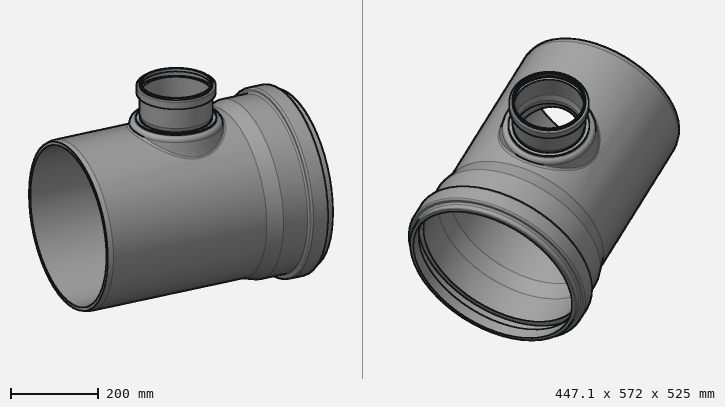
import cadquery as cq
import math


PIPE_OUTER = 400.35
PIPE_BORE = 378.35
PIPE_LENGTH = 572.0
SPIGOT_END = -276.5
SPIGOT_CHAMFER_LENGTH = 12.0
SPIGOT_CHAMFER_DEPTH = 3.0

MAIN_SOCKET_BORE = 402.4
MAIN_SOCKET_OUTER = 421.1
MAIN_BEAD_OUTER = 447.1
MAIN_SOCKET_WALL = (MAIN_SOCKET_OUTER - MAIN_SOCKET_BORE) / 2
MAIN_GROOVE = MAIN_BEAD_OUTER - 2 * MAIN_SOCKET_WALL
MAIN_BEAD_START = 18.5
MAIN_BEAD_END = 62.8
MAIN_SOCKET_DEPTH = 129.0
MAIN_TAPER_END = 166.5
MAIN_BEAD_FILLET = 4.3
MAIN_RIM_FILLET = 2.0

TOTAL_HEIGHT = 525.0
BRANCH_TOP = TOTAL_HEIGHT - MAIN_BEAD_OUTER / 2
BRANCH_WALL = 3.6
BRANCH_SOCKET_BORE = 160.75
BRANCH_SOCKET_OUTER = BRANCH_SOCKET_BORE + 2 * BRANCH_WALL
BRANCH_GROOVE = 174.5
BRANCH_BEAD_OUTER = BRANCH_GROOVE + 2 * BRANCH_WALL
BRANCH_TAIL_OUTER = 160.15
BRANCH_TAIL_BORE = 152.15
BRANCH_BEAD_START = 4.2
BRANCH_BEAD_END = 25.0
BRANCH_TAPER_START = 75.0
BRANCH_TAPER_LENGTH = 15.0
BRANCH_TAIL_END = 102.0
BRANCH_BEAD_FILLET = 2.0

SADDLE_SHOULDER_DIAMETER = 214.0
SADDLE_DRAFT = 13.5
SADDLE_ROOT_Z = 145.0
SADDLE_SHOULDER_Z = 201.5
SADDLE_SHOULDER_RADIUS = 11.5
SADDLE_FOOT_FILLET = 6.0
SADDLE_TOP_Z = SADDLE_SHOULDER_Z + SADDLE_SHOULDER_RADIUS

COLLAR_DIAMETER = 184.5
COLLAR_HEIGHT = 2.6
COLLAR_RECESS_DIAMETER = 166.0
COLLAR_RECESS_DEPTH = 0.5
COLLAR_TOP_Z = SADDLE_TOP_Z + COLLAR_HEIGHT


def turned(profile, axis):
    """Revolve (diameter, height) corners about the Y or Z axis."""
    plane = "XY" if axis == "Y" else "XZ"
    points = [(diameter / 2, height) for diameter, height in profile]
    return cq.Workplane(plane).polyline(points).close().revolve(360, (0, 0), (0, 1))


def upright_disc(diameter, bottom, top):
    return cq.Workplane("XY").workplane(offset=bottom).circle(diameter / 2).extrude(top - bottom)


def make_pipe_envelope():
    mouth = SPIGOT_END + PIPE_LENGTH
    outline = [
        (0, SPIGOT_END),
        (PIPE_OUTER - 2 * SPIGOT_CHAMFER_DEPTH, SPIGOT_END),
        (PIPE_OUTER, SPIGOT_END + SPIGOT_CHAMFER_LENGTH),
        (PIPE_OUTER, mouth - MAIN_TAPER_END),
        (MAIN_SOCKET_OUTER, mouth - MAIN_SOCKET_DEPTH),
        (MAIN_SOCKET_OUTER, mouth - MAIN_BEAD_END),
        (MAIN_BEAD_OUTER, mouth - MAIN_BEAD_END),
        (MAIN_BEAD_OUTER, mouth - MAIN_BEAD_START),
        (MAIN_SOCKET_OUTER, mouth - MAIN_BEAD_START),
        (MAIN_SOCKET_OUTER, mouth),
        (0, mouth),
    ]
    bead_zone = cq.selectors.BoxSelector(
        (-MAIN_BEAD_OUTER, mouth - MAIN_BEAD_END - 1, -MAIN_BEAD_OUTER),
        (MAIN_BEAD_OUTER, mouth - MAIN_BEAD_START + 1, MAIN_BEAD_OUTER),
    )
    envelope = turned(outline, "Y").edges(bead_zone).edges("%CIRCLE").fillet(MAIN_BEAD_FILLET)
    return envelope.faces(">Y").edges().fillet(MAIN_RIM_FILLET)


def make_pipe_cavity():
    mouth = SPIGOT_END + PIPE_LENGTH
    outline = [
        (0, SPIGOT_END),
        (PIPE_BORE, SPIGOT_END),
        (PIPE_BORE, mouth - MAIN_TAPER_END),
        (MAIN_SOCKET_BORE, mouth - MAIN_SOCKET_DEPTH),
        (MAIN_SOCKET_BORE, mouth - MAIN_BEAD_END + MAIN_SOCKET_WALL),
        (MAIN_GROOVE, mouth - MAIN_BEAD_END + MAIN_SOCKET_WALL),
        (MAIN_GROOVE, mouth - MAIN_BEAD_START - MAIN_SOCKET_WALL),
        (MAIN_SOCKET_BORE, mouth - MAIN_BEAD_START - MAIN_SOCKET_WALL),
        (MAIN_SOCKET_BORE, mouth),
        (0, mouth),
    ]
    return turned(outline, "Y")


def make_branch_envelope():
    taper_end = BRANCH_TAPER_START + BRANCH_TAPER_LENGTH
    outline = [
        (0, BRANCH_TOP - BRANCH_TAIL_END),
        (BRANCH_TAIL_OUTER, BRANCH_TOP - BRANCH_TAIL_END),
        (BRANCH_TAIL_OUTER, BRANCH_TOP - taper_end),
        (BRANCH_SOCKET_OUTER, BRANCH_TOP - BRANCH_TAPER_START),
        (BRANCH_SOCKET_OUTER, BRANCH_TOP - BRANCH_BEAD_END),
        (BRANCH_BEAD_OUTER, BRANCH_TOP - BRANCH_BEAD_END),
        (BRANCH_BEAD_OUTER, BRANCH_TOP - BRANCH_BEAD_START),
        (BRANCH_SOCKET_OUTER, BRANCH_TOP - BRANCH_BEAD_START),
        (BRANCH_SOCKET_OUTER, BRANCH_TOP),
        (0, BRANCH_TOP),
    ]
    bead_rims = cq.selectors.RadiusNthSelector(-1)
    return turned(outline, "Z").edges("%CIRCLE").edges(bead_rims).fillet(BRANCH_BEAD_FILLET)


def make_branch_socket():
    taper_end = BRANCH_TAPER_START + BRANCH_TAPER_LENGTH
    outline = [
        (0, BRANCH_TOP - BRANCH_TAIL_END),
        (BRANCH_TAIL_BORE, BRANCH_TOP - BRANCH_TAIL_END),
        (BRANCH_TAIL_BORE, BRANCH_TOP - taper_end),
        (BRANCH_SOCKET_BORE, BRANCH_TOP - BRANCH_TAPER_START),
        (BRANCH_SOCKET_BORE, BRANCH_TOP - BRANCH_BEAD_END + BRANCH_WALL),
        (BRANCH_GROOVE, BRANCH_TOP - BRANCH_BEAD_END + BRANCH_WALL),
        (BRANCH_GROOVE, BRANCH_TOP - BRANCH_BEAD_START - BRANCH_WALL),
        (BRANCH_SOCKET_BORE, BRANCH_TOP - BRANCH_BEAD_START - BRANCH_WALL),
        (BRANCH_SOCKET_BORE, BRANCH_TOP),
        (0, BRANCH_TOP),
    ]
    return make_branch_envelope().cut(turned(outline, "Z"))


def make_saddle_cap():
    shoulder_flat = SADDLE_SHOULDER_DIAMETER / 2 - SADDLE_SHOULDER_RADIUS
    shoulder_diagonal = SADDLE_SHOULDER_RADIUS * math.sqrt(0.5)
    root_flare = (SADDLE_SHOULDER_Z - SADDLE_ROOT_Z) * math.tan(math.radians(SADDLE_DRAFT))
    return (
        cq.Workplane("XZ")
        .moveTo(0, SADDLE_ROOT_Z)
        .lineTo(SADDLE_SHOULDER_DIAMETER / 2 + root_flare, SADDLE_ROOT_Z)
        .lineTo(SADDLE_SHOULDER_DIAMETER / 2, SADDLE_SHOULDER_Z)
        .threePointArc(
            (shoulder_flat + shoulder_diagonal, SADDLE_SHOULDER_Z + shoulder_diagonal),
            (shoulder_flat, SADDLE_TOP_Z),
        )
        .lineTo(0, SADDLE_TOP_Z)
        .close()
        .revolve(360, (0, 0), (0, 1))
    )


def make_blended_quarter(x_side, y_side):
    """The pipe and saddle outline on one side in X and in Y, with the saddle foot filleted."""
    quadrant = (
        cq.Workplane("XY")
        .box(PIPE_LENGTH, PIPE_LENGTH, 2 * PIPE_LENGTH)
        .translate((x_side * PIPE_LENGTH / 2, y_side * PIPE_LENGTH / 2, 0))
    )
    pipe_quarter = make_pipe_envelope().intersect(quadrant)
    joined = pipe_quarter.union(make_saddle_cap().intersect(quadrant))
    reach = SADDLE_SHOULDER_DIAMETER
    seam_zone = cq.selectors.BoxSelector((-reach, -reach, SADDLE_ROOT_Z), (reach, reach, SADDLE_SHOULDER_Z))
    seam = joined.edges(seam_zone).edges("%BSPLINE")
    return seam.fillet(SADDLE_FOOT_FILLET)


def make_main_pipe():
    envelope = cq.Workplane("XY")
    for x_side in (-1, 1):
        for y_side in (-1, 1):
            envelope = envelope.add(make_blended_quarter(x_side, y_side))
    envelope = envelope.combine()
    branch_hole = upright_disc(BRANCH_TAIL_BORE, 0, BRANCH_TOP)
    return envelope.cut(make_pipe_cavity()).cut(branch_hole).cut(make_branch_envelope())


def make_seal_ring():
    ring = upright_disc(COLLAR_DIAMETER, SADDLE_TOP_Z, COLLAR_TOP_Z)
    recess = upright_disc(COLLAR_RECESS_DIAMETER, COLLAR_TOP_Z - COLLAR_RECESS_DEPTH, COLLAR_TOP_Z)
    return ring.cut(recess).cut(make_branch_envelope())


main_pipe = make_main_pipe()
seal_ring = make_seal_ring()
branch_socket = make_branch_socket()

result = cq.Compound.makeCompound([main_pipe.val(), seal_ring.val(), branch_socket.val()])